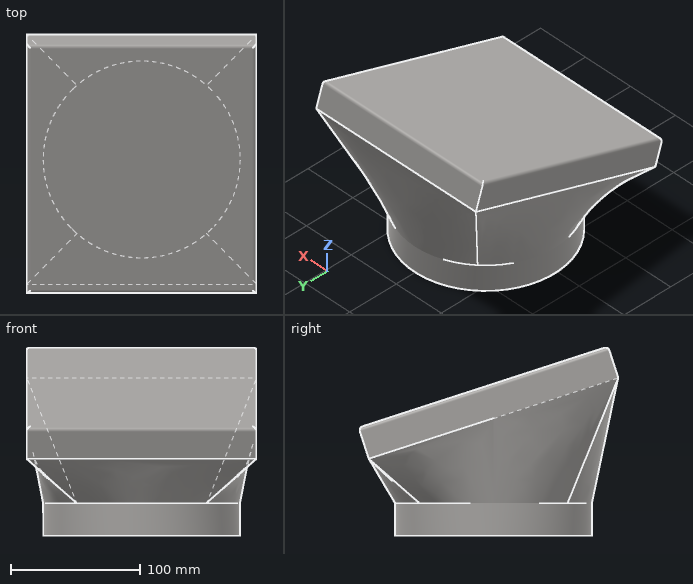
import cadquery as cq

spigot_diameter = 152.5
spigot_height = 25.5

plate_width = 177.9
plate_length = 203.0
plate_thickness = 25.5
plate_tilt = 18
plate_base_height = 91.0
top_edge_radius = 3.5

plate_plane = cq.Plane(origin=(0, 0, plate_base_height)).rotated((plate_tilt, 0, 0))


def make_spigot():
    return cq.Workplane("XY").circle(spigot_diameter / 2).extrude(spigot_height)


def make_transition():
    """Ruled loft from the spigot's circle to the plate's lower rectangle."""
    circle = cq.Workplane("XY", origin=(0, 0, spigot_height)).circle(spigot_diameter / 2)
    rectangle = cq.Workplane(plate_plane).rect(plate_width, plate_length)
    profiles = [circle.val(), rectangle.val()]
    return cq.Workplane(cq.Solid.makeLoft(profiles, True))


def make_plate():
    plate = cq.Workplane(plate_plane).rect(plate_width, plate_length).extrude(plate_thickness)
    top_face = plate.faces(cq.selectors.DirectionMinMaxSelector(plate_plane.zDir, True))
    return top_face.edges().fillet(top_edge_radius)


result = make_spigot().union(make_transition()).union(make_plate())